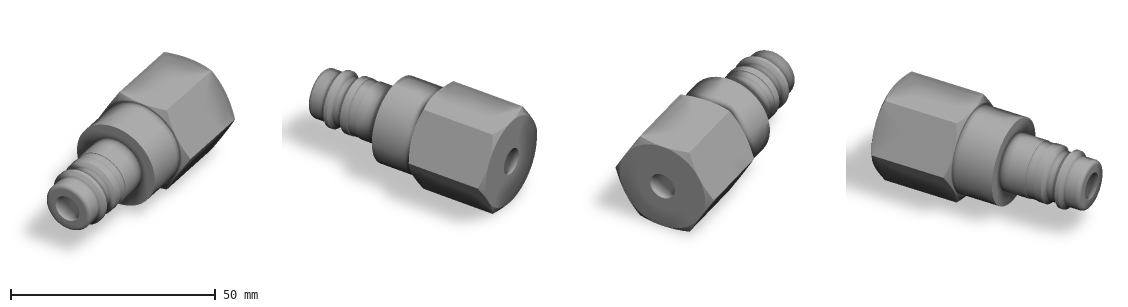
import cadquery as cq
import math

HEX_ACROSS_FLATS = 24.0
HEX_LENGTH = 22.0
HEX_CHAMFER_FACE_DIAMETER = 23.9
HEX_CHAMFER_ANGLE = 30.0

COLLAR_DIAMETER = 22.8
COLLAR_END = 33.0

PLUG_DIAMETER = 15.0
RELIEF_DIAMETER = 14.6
NOSE_DIAMETER = 13.0
RELIEF_START = 40.0
RELIEF_END = 42.5
GROOVE_START = 44.5
GROOVE_FLOOR_LENGTH = 1.75
RIB_CREST_LENGTH = 1.0
TIP = 54.5
TIP_FILLET = 1.0

BORE_DIAMETER = 7.0


def hexagon_body():
    """Hexagonal prism with its corners turned to a cone at both ends."""
    across_corners = HEX_ACROSS_FLATS / math.cos(math.radians(30.0))
    prism = cq.Workplane("XZ").polygon(6, across_corners).extrude(HEX_LENGTH)

    face_radius = HEX_CHAMFER_FACE_DIAMETER / 2
    corner_radius = across_corners / 2
    chamfer_depth = (corner_radius - face_radius) * math.tan(math.radians(HEX_CHAMFER_ANGLE))
    turned_blank = revolved_profile([
        (0, 0),
        (face_radius, 0),
        (corner_radius, chamfer_depth),
        (corner_radius, HEX_LENGTH - chamfer_depth),
        (face_radius, HEX_LENGTH),
        (0, HEX_LENGTH),
    ])
    return prism.intersect(turned_blank)


def revolved_profile(radius_and_distance):
    """Solid of revolution about Y from (radius, distance from the hexagon end) points."""
    points = [(radius, -distance) for radius, distance in radius_and_distance]
    return cq.Workplane("XY").polyline(points).close().revolve(360, (0, 0), (0, 1))


def collar():
    return cq.Workplane("XZ").circle(COLLAR_DIAMETER / 2).extrude(COLLAR_END)


def plug():
    """Stepped plug with a shallow relief, a locking groove, a rib and a rounded nose."""
    plug_radius = PLUG_DIAMETER / 2
    relief_radius = RELIEF_DIAMETER / 2
    nose_radius = NOSE_DIAMETER / 2

    flank_length = plug_radius - nose_radius
    groove_floor_start = GROOVE_START + flank_length
    groove_floor_end = groove_floor_start + GROOVE_FLOOR_LENGTH
    crest_start = groove_floor_end + flank_length
    crest_end = crest_start + RIB_CREST_LENGTH
    nose_start = crest_end + flank_length

    body = revolved_profile([
        (0, 0),
        (plug_radius, 0),
        (plug_radius, RELIEF_START),
        (relief_radius, RELIEF_START),
        (relief_radius, RELIEF_END),
        (plug_radius, RELIEF_END),
        (plug_radius, GROOVE_START),
        (nose_radius, groove_floor_start),
        (nose_radius, groove_floor_end),
        (plug_radius, crest_start),
        (plug_radius, crest_end),
        (nose_radius, nose_start),
        (nose_radius, TIP),
        (0, TIP),
    ])
    return body.faces("<Y").edges().fillet(TIP_FILLET)


def bore():
    return cq.Workplane("XZ").circle(BORE_DIAMETER / 2).extrude(TIP)


result = hexagon_body().union(collar()).union(plug()).cut(bore())